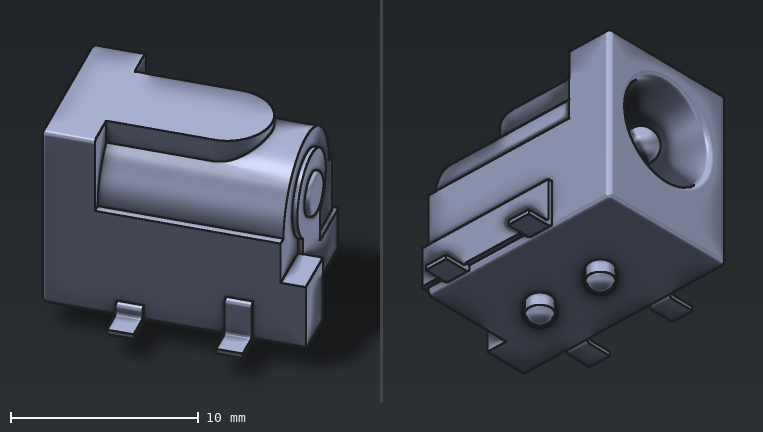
import cadquery as cq
import math


length = 14.8
width = 9.0
height = 11.0
edge_radius = 0.3
rear_face_x = 13.4
block_top = 4.0
block_inner_y = -1.5
face_depth = 3.0
axis_z = 6.5
barrel_radius = 4.0
rib_radius = 2.5
rib_end_x = 11.48

socket_radius = 3.21
mouth_radius = 0.3
rear_wall = 2.0
socket_depth = rear_face_x - rear_wall

peg_radius = 0.8
peg_length = 1.4
peg_dome_height = 0.6
peg_xs = (5.0, 9.47)

thickness = 0.3
bend_radius = 0.2
heel_radius = 0.3
side_y = width / 2
foot_span = 12.6
foot_tip_y = foot_span / 2
leg_width = 1.51
leg_xs = (5.0, 11.1)
leg_heights = (1.02, 2.5)
strip_top = 3.0
strip_bottom = thickness + bend_radius
disc_z = 6.94
disc_radius = 2.49

pin_radius = 1.05
pin_tip_x = 0.96
head_radius = 1.26
head_height = 0.33
head_rounding = 0.25


def box_between(x_range, y_range, z_range):
    """Box between the given limits along each axis."""
    size = [high - low for low, high in (x_range, y_range, z_range)]
    corner = [x_range[0], y_range[0], z_range[0]]
    return cq.Workplane("XY").box(*size, centered=False).translate(tuple(corner))


def cylinder_along_x(radius, start_x, end_x, z):
    """Cylinder around an axis parallel to X, at Y = 0."""
    return cq.Workplane("YZ", origin=(start_x, 0, z)).circle(radius).extrude(end_x - start_x)


def make_envelope():
    """Rounded block with the rear step that leaves only the corner block."""
    envelope = (
        box_between((0, length), (-side_y, side_y), (0, height))
        .edges("|X or <X")
        .fillet(edge_radius)
    )
    above_block = box_between((rear_face_x, length), (-side_y, side_y), (block_top, height))
    beside_block = box_between((rear_face_x, length), (block_inner_y, side_y), (0, height))
    return envelope.cut(above_block).cut(beside_block)


def make_rib():
    """Flat rib with a round end, from the full-height part to over the barrel."""
    round_center_x = rib_end_x - rib_radius
    return (
        cq.Workplane("XY", origin=(0, 0, axis_z))
        .moveTo(face_depth, -rib_radius)
        .lineTo(round_center_x, -rib_radius)
        .threePointArc((rib_end_x, 0), (round_center_x, rib_radius))
        .lineTo(face_depth, rib_radius)
        .close()
        .extrude(height - axis_z)
    )


def make_socket():
    """Blind bore for the plug, with a rounded mouth."""
    mouth_x = mouth_radius * (1 - math.sqrt(0.5))
    return (
        cq.Workplane("XZ")
        .lineTo(0, socket_radius + mouth_radius)
        .threePointArc((mouth_x, socket_radius + mouth_x), (mouth_radius, socket_radius))
        .lineTo(socket_depth, socket_radius)
        .lineTo(socket_depth, 0)
        .close()
        .revolve(360, (0, 0, 0), (1, 0, 0))
        .translate((0, 0, axis_z))
    )


def make_peg(x):
    """Locating peg with a domed end, under the housing."""
    shoulder_z = peg_dome_height - peg_length
    dome_radius = (peg_radius**2 + peg_dome_height**2) / (2 * peg_dome_height)
    return (
        cq.Workplane("XZ")
        .lineTo(peg_radius, 0)
        .lineTo(peg_radius, shoulder_z)
        .radiusArc((0, -peg_length), dome_radius)
        .close()
        .revolve(360, (0, 0, 0), (0, 1, 0))
        .translate((x, 0, 0))
    )


def make_housing():
    above_walls = box_between((face_depth, rear_face_x), (-side_y, side_y), (axis_z, height))
    barrel = cylinder_along_x(barrel_radius, face_depth, rear_face_x, axis_z)
    housing = make_envelope().cut(above_walls).union(barrel).union(make_rib())
    housing = housing.cut(make_socket()).cut(make_pin())
    for x in peg_xs:
        housing = housing.union(make_peg(x))
    return housing


def make_leg(x, leg_height):
    """Leg against the -Y side, rounded at the top and bent outwards into a foot."""
    outer_y = -side_y - thickness
    heel_y = -side_y - heel_radius
    return (
        cq.Workplane("YZ", origin=(x - leg_width / 2, 0, 0))
        .moveTo(-foot_tip_y, 0)
        .lineTo(heel_y, 0)
        .radiusArc((-side_y, heel_radius), -heel_radius)
        .lineTo(-side_y, leg_height)
        .radiusArc((outer_y, leg_height - thickness), -thickness)
        .lineTo(outer_y, thickness + bend_radius)
        .radiusArc((outer_y - bend_radius, thickness), bend_radius)
        .lineTo(-foot_tip_y, thickness)
        .close()
        .extrude(leg_width)
    )


def make_plate():
    """Terminal along the +Y side, bent round the rear to a disc around the pin head."""
    strip_start_x = leg_xs[0] - leg_width / 2
    outer_x = rear_face_x + thickness
    strip = (
        box_between(
            (strip_start_x, outer_x), (block_inner_y, side_y + thickness), (strip_bottom, strip_top)
        )
        .edges("|Z and >X and >Y")
        .fillet(bend_radius)
        .cut(box_between((0, rear_face_x), (-side_y, side_y), (0, height)))
    )
    neck = box_between((rear_face_x, outer_x), (block_inner_y, -block_inner_y), (strip_bottom, disc_z))
    disc = cylinder_along_x(disc_radius, rear_face_x, outer_x, disc_z)
    plate = strip.union(neck).union(disc)
    for x in leg_xs:
        foot = make_leg(x, (strip_bottom + strip_top) / 2).mirror("XZ")
        plate = plate.union(foot)
    return plate.cut(make_pin())


def make_pin():
    """Round-tipped shaft, and the offset head that holds the terminal disc."""
    tip_center_x = pin_tip_x + pin_radius
    tip = cq.Workplane("XY").sphere(pin_radius).translate((tip_center_x, 0, axis_z))
    shaft = cylinder_along_x(pin_radius, tip_center_x, rear_face_x, axis_z).union(tip)
    head = (
        cylinder_along_x(head_radius, rear_face_x, rear_face_x + thickness + head_height, disc_z)
        .faces(">X")
        .edges()
        .fillet(head_rounding)
    )
    return shaft.union(head)


housing = make_housing()
plate = make_plate()
pin = make_pin()
legs = [make_leg(x, leg_height) for x, leg_height in zip(leg_xs, leg_heights)]

result = cq.Compound.makeCompound(
    [housing.val(), plate.val(), pin.val(), *[leg.val() for leg in legs]]
)